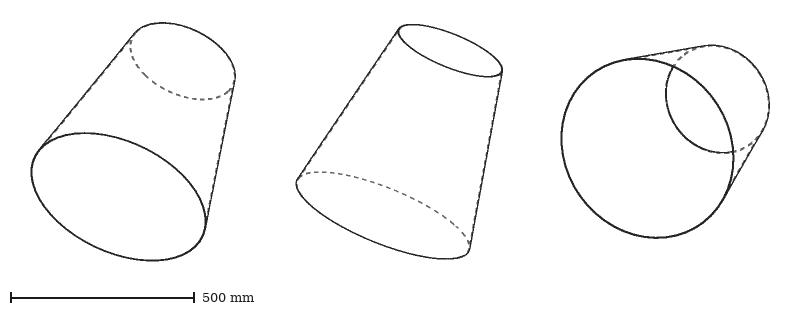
import cadquery as cq

large_diameter = 508.0
small_diameter = 306.0
length = 508.0
wall = 3.0

large_radius = large_diameter / 2
small_radius = small_diameter / 2


def conical_shell():
    """Revolve the slanted wall section around the Y axis."""
    wall_section = [
        (large_radius - wall, 0),
        (large_radius, 0),
        (small_radius, length),
        (small_radius - wall, length),
    ]
    return (
        cq.Workplane("XY")
        .polyline(wall_section)
        .close()
        .revolve(360, (0, 0, 0), (0, 1, 0))
    )


result = conical_shell()